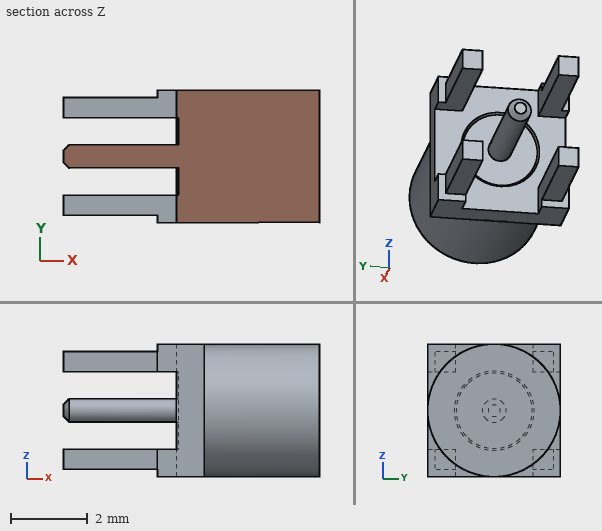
import cadquery as cq


block_side = 3.45
block_length = 1.22
relief_width = 2.01
relief_depth = 0.5

barrel_diameter = block_side
barrel_length = 3.0

leg_length = 2.44
leg_side = 0.53

pin_diameter = 0.61
pin_chamfer = 0.15

bore_diameter = 1.97
bore_chamfer = 0.05

leg_pitch = relief_width + leg_side


def bar_along_x(start, length, size_y, size_z):
    """Rectangular bar centered on the X axis, running in +X from start."""
    return cq.Workplane("YZ", origin=(start, 0, 0)).rect(size_y, size_z).extrude(length)


def rod_along_x(start, length, diameter):
    """Round rod on the X axis, running in +X from start."""
    return cq.Workplane("YZ", origin=(start, 0, 0)).circle(diameter / 2).extrude(length)


def make_block():
    """Block whose crossed relief channels run out through all four sides."""
    block = bar_along_x(0, block_length, block_side, block_side)
    block = block.cut(bar_along_x(0, relief_depth, relief_width, block_side))
    return block.cut(bar_along_x(0, relief_depth, block_side, relief_width))


def make_insulator_recess():
    """Shallow 45 degree countersink that ends on the flat insulator face."""
    mouth_radius = bore_diameter / 2 + bore_chamfer
    return (
        cq.Workplane("YZ", origin=(relief_depth, 0, 0))
        .circle(mouth_radius)
        .extrude(bore_chamfer, taper=45)
    )


def make_legs():
    """Four square legs projecting in -X from the feet."""
    return (
        cq.Workplane("YZ", origin=(-leg_length, 0, 0))
        .rect(leg_pitch, leg_pitch, forConstruction=True)
        .vertices()
        .rect(leg_side, leg_side)
        .extrude(leg_length)
    )


def make_pin():
    """Center pin with a chamfered tip level with the leg ends."""
    pin_length = leg_length + relief_depth + bore_chamfer
    return rod_along_x(-leg_length, pin_length, pin_diameter).faces("<X").chamfer(pin_chamfer)


barrel = rod_along_x(block_length, barrel_length, barrel_diameter)
body = make_block().cut(make_insulator_recess())
result = body.union(barrel).union(make_legs()).union(make_pin())